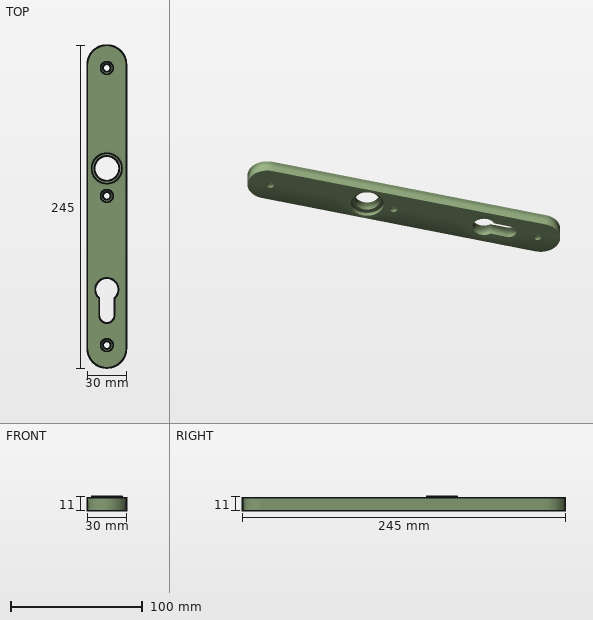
import cadquery as cq

PLATE_LENGTH = 245.0
PLATE_WIDTH = 30.0
PLATE_THICKNESS = 10.0

SCREW_DIAMETER = 5.6
COUNTERSINK_DIAMETER = 9.5
COUNTERSINK_ANGLE = 90.0
END_SCREW_Y = 105.0
MIDDLE_SCREW_Y = 8.0
SCREW_POSITIONS = [END_SCREW_Y, MIDDLE_SCREW_Y, -END_SCREW_Y]

BUSHING_Y = 29.0
BUSHING_OUTER_DIAMETER = 23.0
BUSHING_BORE_DIAMETER = 18.5
BUSHING_PROTRUSION = 1.0
BUSHING_EDGE_RADIUS = 0.5
BUSHING_TOP_Z = PLATE_THICKNESS + BUSHING_PROTRUSION

RECESS_DIAMETER = 25.0
RECESS_DEPTH = 3.5
BUSHING_HEIGHT = BUSHING_TOP_Z - RECESS_DEPTH

KEYHOLE_Y = -63.0
KEYHOLE_DIAMETER = 17.5
KEYHOLE_SLOT_WIDTH = 11.3
KEYHOLE_LENGTH = 34.0
KEYHOLE_TOP_Y = KEYHOLE_Y + KEYHOLE_DIAMETER / 2
KEYHOLE_BOTTOM_Y = KEYHOLE_TOP_Y - KEYHOLE_LENGTH
SLOT_END_Y = KEYHOLE_BOTTOM_Y + KEYHOLE_SLOT_WIDTH / 2


def make_keyhole_cutter():
    """Round opening joined to a slot that has a rounded lower end."""
    half_width = KEYHOLE_SLOT_WIDTH / 2
    opening = cq.Workplane("XY").center(0, KEYHOLE_Y).circle(KEYHOLE_DIAMETER / 2).extrude(PLATE_THICKNESS)
    slot = (
        cq.Workplane("XY")
        .moveTo(-half_width, KEYHOLE_Y)
        .lineTo(-half_width, SLOT_END_Y)
        .threePointArc((0, KEYHOLE_BOTTOM_Y), (half_width, SLOT_END_Y))
        .lineTo(half_width, KEYHOLE_Y)
        .close()
        .extrude(PLATE_THICKNESS)
    )
    return opening.union(slot)


def make_plate():
    """Long plate with screw holes, a stepped bushing seat and a keyhole."""
    drilled = (
        cq.Workplane("XY")
        .slot2D(PLATE_LENGTH, PLATE_WIDTH, 90)
        .extrude(PLATE_THICKNESS)
        .faces(">Z")
        .workplane(origin=(0, 0, PLATE_THICKNESS))
        .pushPoints([(0, y) for y in SCREW_POSITIONS])
        .cskHole(SCREW_DIAMETER, COUNTERSINK_DIAMETER, COUNTERSINK_ANGLE)
    )
    bushing_axis = cq.Workplane("XY").center(0, BUSHING_Y)
    bushing_seat = bushing_axis.circle(BUSHING_OUTER_DIAMETER / 2).extrude(PLATE_THICKNESS)
    recess = bushing_axis.circle(RECESS_DIAMETER / 2).extrude(RECESS_DEPTH)
    return drilled.cut(bushing_seat).cut(recess).cut(make_keyhole_cutter())


def make_bushing():
    """Ring from the recess up through the plate, standing proud with a rounded outer top edge."""
    return (
        cq.Workplane("XY", origin=(0, BUSHING_Y, RECESS_DEPTH))
        .circle(BUSHING_OUTER_DIAMETER / 2)
        .extrude(BUSHING_HEIGHT)
        .faces(">Z")
        .edges()
        .fillet(BUSHING_EDGE_RADIUS)
        .faces(">Z")
        .workplane()
        .hole(BUSHING_BORE_DIAMETER)
    )


plate = make_plate()
bushing = make_bushing()
result = cq.Compound.makeCompound([plate.val(), bushing.val()])